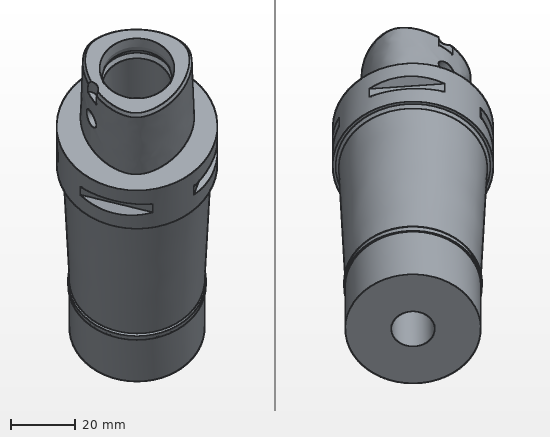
import cadquery as cq
import math

total_height = 135.0
flange_top = 105.0
flange_bottom = 85.0
collar_bottom = 84.0
cone_bottom = 25.1
nut_top = 24.3
nut_rim_bottom = 22.3

flange_radius = 25.0
collar_top_radius = 24.0
cone_top_radius = 23.1
cone_bottom_radius = 21.0
neck_radius = 16.0
nut_radius = 21.0
nut_rim_radius = 21.5

shank_base_radius = 17.7
shank_taper = 1 / 40
lobe_offset = 1.1
shank_chamfer_height = 1.2
shank_chamfer_width = 0.8
lobe_points = 72

mouth_radius = 11.6
land_radius = 10.8
mouth_depth = 3.4
land_depth = 5.3
groove_depth = 9.3
undercut = 1.2
bore_depth = total_height - flange_top
through_radius = 7.2
nut_hole_radius = 6.8

notch_radius = 3.1
notch_height = 5.4
notch_center_y = -17.1
side_hole_radius = 3.1
side_hole_drop = 15.8

groove_count = 4
groove_floor_distance = 22.0
groove_floor_height = 4.2
groove_wall_rise = 1.2
groove_center_z = (flange_top + flange_bottom) / 2


def lobed_wire(mean_radius, z):
    """Closed three-lobed curve of constant width, with one lobe pointing to +Y."""
    points = []
    for i in range(lobe_points):
        angle = 2 * math.pi * i / lobe_points
        along = mean_radius * math.cos(angle) + lobe_offset * (2 * math.cos(2 * angle) - math.cos(4 * angle))
        across = mean_radius * math.sin(angle) - lobe_offset * (2 * math.sin(2 * angle) + math.sin(4 * angle))
        points.append(cq.Vector(-across, along, z))
    return cq.Wire.assembleEdges([cq.Edge.makeSpline(points, periodic=True)])


def make_shank():
    """Tapered shank with a chamfered top edge."""
    chamfer_z = total_height - shank_chamfer_height
    chamfer_radius = shank_base_radius - shank_taper * (chamfer_z - flange_top)
    base = lobed_wire(shank_base_radius, flange_top)
    shoulder = lobed_wire(chamfer_radius, chamfer_z)
    top = lobed_wire(chamfer_radius - shank_chamfer_width, total_height)
    taper = cq.Solid.makeLoft([base, shoulder], True)
    chamfer = cq.Solid.makeLoft([shoulder, top], True)
    return cq.Workplane(taper).union(cq.Workplane(chamfer))


def make_groove(angle):
    """Cutter for one gripper groove: a trapezoid widening outward, run along the tangent."""
    depth = flange_radius - groove_floor_distance
    half_floor = groove_floor_height / 2
    half_mouth = half_floor + groove_wall_rise
    return (
        cq.Workplane("XZ")
        .moveTo(groove_floor_distance, -half_floor)
        .lineTo(groove_floor_distance + depth, -half_mouth)
        .lineTo(groove_floor_distance + depth, half_mouth)
        .lineTo(groove_floor_distance, half_floor)
        .close()
        .extrude(flange_radius, both=True)
        .translate((0, 0, groove_center_z))
        .rotate((0, 0, 0), (0, 0, 1), angle)
    )


def make_bore():
    """Bore cutter: conical mouth, land, undercut groove with a sloped floor, and through hole."""
    undercut_radius = land_radius + undercut
    return (
        cq.Workplane("XZ", origin=(0, 0, total_height))
        .lineTo(mouth_radius, 0)
        .lineTo(land_radius, -mouth_depth)
        .lineTo(land_radius, -land_depth)
        .lineTo(undercut_radius, -land_depth)
        .lineTo(undercut_radius, undercut - groove_depth)
        .lineTo(land_radius, -groove_depth)
        .lineTo(land_radius, -bore_depth)
        .lineTo(through_radius, -bore_depth)
        .lineTo(through_radius, nut_top - total_height)
        .lineTo(0, nut_top - total_height)
        .close()
        .revolve(360, (0, 0, 0), (0, 1, 0))
    )


def make_notch():
    """Round-backed notch cutter at the top edge of the shank."""
    return (
        cq.Workplane("XY", origin=(0, notch_center_y, total_height - notch_height))
        .circle(notch_radius)
        .extrude(notch_height)
    )


def make_side_hole():
    """Radial hole cutter, from the bore axis out through the -Y side."""
    return (
        cq.Workplane("XZ", origin=(0, 0, total_height - side_hole_drop))
        .circle(side_hole_radius)
        .extrude(flange_radius)
    )


def make_holder():
    """Tool holder: shank, flange, cone and short neck."""
    body = (
        cq.Workplane("XZ")
        .moveTo(0, nut_top)
        .lineTo(neck_radius, nut_top)
        .lineTo(neck_radius, cone_bottom)
        .lineTo(cone_bottom_radius, cone_bottom)
        .lineTo(cone_top_radius, collar_bottom)
        .lineTo(collar_top_radius, flange_bottom)
        .lineTo(flange_radius, flange_bottom)
        .lineTo(flange_radius, flange_top)
        .lineTo(0, flange_top)
        .close()
        .revolve(360, (0, 0, 0), (0, 1, 0))
    )
    body = body.union(make_shank())
    for i in range(groove_count):
        body = body.cut(make_groove((i + 0.5) * 360 / groove_count))
    return body.cut(make_bore()).cut(make_notch()).cut(make_side_hole())


def make_nut():
    """Clamping nut with a thin rim at its top, against the neck of the holder."""
    barrel = cq.Workplane("XY").circle(nut_radius).extrude(nut_top)
    rim = (
        cq.Workplane("XY", origin=(0, 0, nut_rim_bottom))
        .circle(nut_rim_radius)
        .extrude(nut_top - nut_rim_bottom)
    )
    hole = cq.Workplane("XY").circle(nut_hole_radius).extrude(nut_top)
    return barrel.union(rim).cut(hole)


holder = make_holder()
nut = make_nut()
result = cq.Compound.makeCompound([holder.val(), nut.val()])